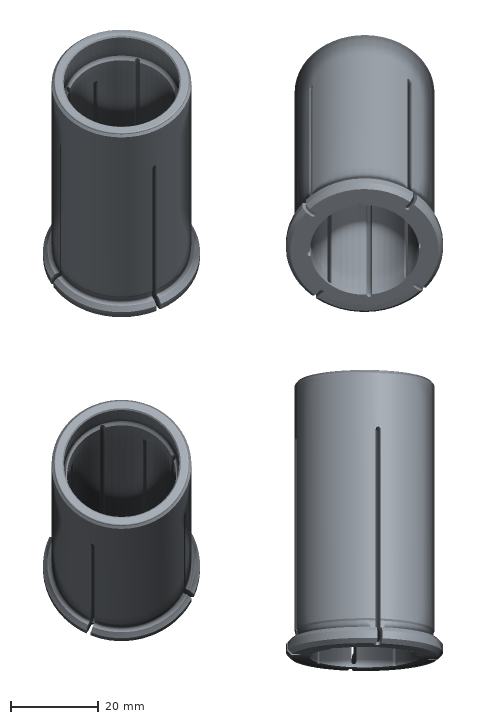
import cadquery as cq
import math

length = 64.0
body_radius = 32.0 / 2
bore_radius = 12.5

flange_radius = 36.0 / 2
flange_height = 3.85
flange_chamfer = 1.0

neck_radius = 15.8
neck_top = 5.6
neck_taper_height = 0.45
neck_fillet = 0.45

lead_in_height = 0.8
lead_in_depth = 0.5
rim_fillet = 0.3
counterbore_radius = 26.5 / 2
counterbore_depth = 6.8
counterbore_chamfer = 0.3

slot_count = 4
slot_angle = 360 / slot_count
slot_width = 1.15
slot_bottom = 0.7
slot_top = 50.7
web_notch_radius = 15.35

groove_radius = 0.65


def make_sleeve():
    """Revolve the wall section, from the bore outwards, around Z."""
    rim_top_radius = body_radius - lead_in_depth
    rim_shoulder = length - rim_fillet
    fillet_bottom = flange_height + neck_fillet
    fillet_offset = neck_fillet * (1 - math.sqrt(0.5))
    step_drop = counterbore_radius - bore_radius
    return (
        cq.Workplane("XZ")
        .moveTo(bore_radius, 0)
        .lineTo(flange_radius - flange_chamfer, 0)
        .lineTo(flange_radius, flange_chamfer)
        .lineTo(flange_radius, flange_height - flange_chamfer)
        .lineTo(flange_radius - flange_chamfer, flange_height)
        .lineTo(neck_radius + neck_fillet, flange_height)
        .threePointArc(
            (neck_radius + fillet_offset, flange_height + fillet_offset),
            (neck_radius, fillet_bottom),
        )
        .lineTo(neck_radius, neck_top)
        .lineTo(body_radius, neck_top + neck_taper_height)
        .lineTo(body_radius, length - lead_in_height)
        .lineTo(rim_top_radius, rim_shoulder)
        .radiusArc((rim_top_radius - rim_fillet, length), -rim_fillet)
        .lineTo(counterbore_radius + counterbore_chamfer, length)
        .lineTo(counterbore_radius, length - counterbore_chamfer)
        .lineTo(counterbore_radius, length - counterbore_depth)
        .lineTo(bore_radius, length - counterbore_depth - step_drop)
        .close()
        .revolve(360, (0, 0, 0), (0, 1, 0))
    )


def make_slot():
    """Round-ended slot through the +X wall, with a notch outside its web."""
    slot = (
        cq.Workplane("YZ")
        .center(0, (slot_bottom + slot_top) / 2)
        .slot2D(slot_top - slot_bottom, slot_width, 90)
        .extrude(flange_radius)
    )
    notch_end = (
        cq.Workplane("XY")
        .center(web_notch_radius, 0)
        .circle(slot_width / 2)
        .extrude(flange_height)
    )
    notch = (
        cq.Workplane("XY")
        .center(web_notch_radius, 0)
        .rect(flange_radius, slot_width)
        .extrude(flange_height)
        .translate((flange_radius / 2, 0, 0))
    )
    return slot.union(notch).union(notch_end)


def make_groove():
    """Round groove centred on the bore surface, open at the counterbore cone."""
    return (
        cq.Workplane("XY")
        .center(bore_radius, 0)
        .circle(groove_radius)
        .extrude(length - counterbore_depth)
    )


sleeve = make_sleeve()
slot = make_slot()
groove = make_groove()
for index in range(slot_count):
    turn = index * slot_angle
    sleeve = sleeve.cut(slot.rotate((0, 0, 0), (0, 0, 1), turn))
    sleeve = sleeve.cut(groove.rotate((0, 0, 0), (0, 0, 1), turn + slot_angle / 2))

result = sleeve